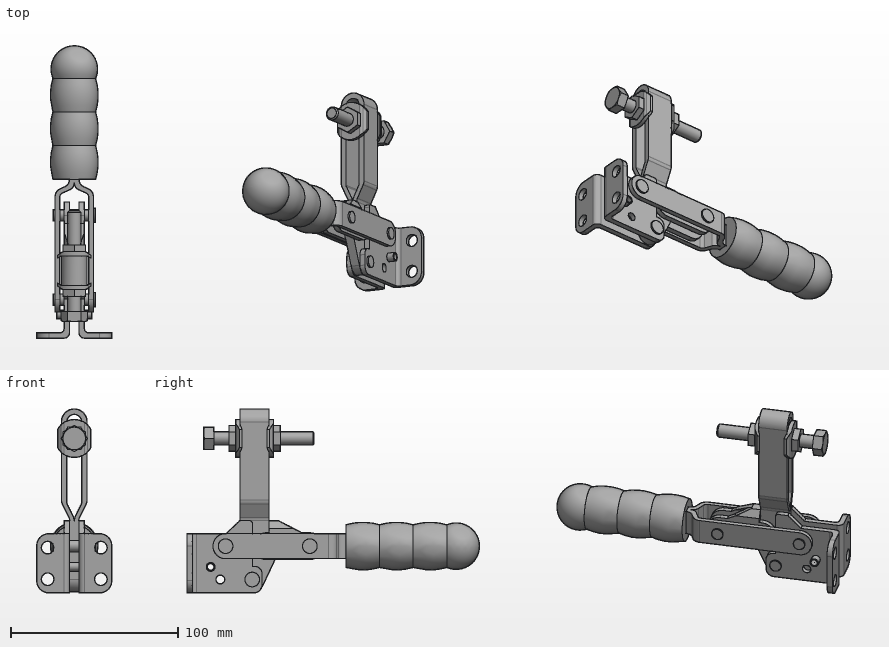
import cadquery as cq
import math


TOTAL_LENGTH = 175.0
TOTAL_HEIGHT = 110.0
CORE_HALF = 2.8
SHEET = 3.3
SIDE_HALF = CORE_HALF + SHEET

AXIS_Z = 28.0
LEVER_PIVOT = (23.1, AXIS_Z)
LINK_REAR_PIVOT = (73.5, AXIS_Z)
LINK_FRONT_PIVOT = (47.6, AXIS_Z)
ARM_PIVOT = (39.0, 8.0)
RIVET_RADIUS = 3.5
RIVET_HEAD_RADIUS = 4.4
RIVET_STANDOUT = 1.0

TOTAL_WIDTH = 45.0
FLANGE_HALF_WIDTH = TOTAL_WIDTH / 2
FLANGE_CORNER = 7.4
BRACKET_HEIGHT = 35.5
TAB_HEIGHT = 43.2
TAB_FRONT_LOW = 23.5
TAB_FRONT_HIGH = 31.5
TAB_CORNER = 1.8
BRACKET_REAR = 39.2
FOOT_REAR = 45.0
FOOT_TOP = 16.0
FOOT_TOP_CORNER = 4.5
FOOT_BOTTOM_CORNER = 4.9
BEND_OUTER = 3.3
BEND_INNER = 2.5
MOUNT_HOLE_DIAMETER = 7.4
MOUNT_HOLE_X = 16.0
MOUNT_HOLE_Z = (8.2, 27.1)
SPARE_HOLE = (20.0, 8.0)
SPARE_HOLE_DIAMETER = 5.0
STOP_TUBE = (14.2, 15.5)
STOP_TUBE_RADIUS = 2.6
STOP_TUBE_BORE = 2.0
STOP_TUBE_HALF_LENGTH = 10.5

ARM_FRONT = 31.7
ARM_DEPTH = 17.5
ARM_REAR = ARM_FRONT + ARM_DEPTH
ARM_OUTER = 7.7
ARM_INNER = 4.4
ARM_PIVOT_RADIUS = ARM_PIVOT[0] - ARM_FRONT
ARM_NECK_Z = 44.3
ARM_SHOULDER_Z = 54.2
ARM_SHOULDER_DROP = 0.7
ARM_NECK_CONCAVE = 4.4
ARM_NECK_CONVEX = 7.0
ARM_SHOULDER_CONVEX = 5.2
ARM_SHOULDER_CONCAVE = 2.0

LINK_RADIUS = 8.0
LINK_FOLD_Z = 38.7
LINK_RIDGE_HALF = 3.2
LINK_RAMP_TOP = 54.8
LINK_RAMP_FOOT = 68.8

LEVER_OUTER = 11.5
LEVER_SHEET = 3.0
LEVER_HALF_HEIGHT = 7.5
LEVER_BEND_Y = 88.0
LEVER_TANG_Y = 91.9
LEVER_BEND_CONVEX = 5.5
LEVER_BEND_CONCAVE = LEVER_BEND_CONVEX - LEVER_SHEET
TANG_BEND_RADIUS = 4.5
TANG_DEPTH = 35.0
GRIP_FRONT = 95.0
GRIP_DOME_RADIUS = 14.0
GRIP_LOBE_RADIUS = 14.4
GRIP_LOBES = 3
GRIP_LOBE_LENGTH = 20.1

BOLT_Z = 92.4
BOLT_RADIUS = 4.0
BOLT_FRONT = 10.0
BOLT_REAR = 76.1
BOLT_HEAD_LENGTH = 6.1
BOLT_TIP_CHAMFER = 0.9
HEX_ACROSS_CORNERS = 15.5
HEX_CHAMFER_LENGTH = 0.5
NUT_LENGTH = 4.0
WASHER_THICKNESS = 2.6
WASHER_RADIUS = 11.4
WASHER_HALF_WIDTH = 10.0
WASHER_BEND_HALF = 7.2
WASHER_BEND_RADIUS = 3.0
WASHER_WING_FALL = 2.3
WASHER_WING_LAP = 1.2


def rounded_outline(plane, corners):
    """Closed outline through (u, v, radius) corners; a radius of 0 leaves a corner sharp."""
    entries_and_exits = []
    for i, (u, v, radius) in enumerate(corners):
        before = corners[i - 1]
        after = corners[(i + 1) % len(corners)]
        into = math.atan2(before[1] - v, before[0] - u)
        out = math.atan2(after[1] - v, after[0] - u)
        half_angle = abs(math.remainder(out - into, math.tau)) / 2
        reach = radius / math.tan(half_angle) if radius else 0
        entry = (u + reach * math.cos(into), v + reach * math.sin(into))
        leave = (u + reach * math.cos(out), v + reach * math.sin(out))
        entries_and_exits.append((radius, entry, leave))

    outline = plane.moveTo(*entries_and_exits[0][2])
    for radius, entry, leave in entries_and_exits[1:] + entries_and_exits[:1]:
        outline = outline.lineTo(*entry)
        if radius:
            outline = outline.tangentArcPoint(leave, relative=False)
    return outline.close()


def cross_plane(x=0.0):
    return cq.Workplane("YZ", origin=(x, 0, 0))


def front_plane(y):
    """Plane at the given Y, drawn in X and Z; extruding from it goes towards -Y."""
    return cq.Workplane("XZ", origin=(0, y, 0))


def x_cylinder(place, radius, x_start, x_end):
    return cross_plane(x_start).center(*place).circle(radius).extrude(x_end - x_start)


def y_cylinder(radius, y_start, y_end):
    return front_plane(y_end).center(0, BOLT_Z).circle(radius).extrude(y_end - y_start)


def through_hole(place, radius):
    return x_cylinder(place, radius, -FLANGE_HALF_WIDTH, FLANGE_HALF_WIDTH)


def both_sides(solid):
    return solid.union(solid.mirror("YZ"))


def rivet(place, sheet_face):
    """Plain at its -X end, headed at its +X end, and standing out of both sheet faces."""
    end = sheet_face + RIVET_STANDOUT
    shank = x_cylinder(place, RIVET_RADIUS, -end, end)
    head = x_cylinder(place, RIVET_HEAD_RADIUS, sheet_face, end)
    return shank.union(head)


def hull_of_circles(lower, lower_radius, upper, upper_radius, half_width):
    """Plate shaped like a belt around two circles."""
    du = upper[0] - lower[0]
    dv = upper[1] - lower[1]
    direction = math.atan2(dv, du)
    spread = math.acos((lower_radius - upper_radius) / math.hypot(du, dv))

    def on_circle(centre, radius, angle):
        return (centre[0] + radius * math.cos(angle), centre[1] + radius * math.sin(angle))

    return (
        cross_plane(-half_width)
        .moveTo(*on_circle(lower, lower_radius, direction + spread))
        .threePointArc(
            on_circle(lower, lower_radius, direction + math.pi),
            on_circle(lower, lower_radius, direction - spread),
        )
        .lineTo(*on_circle(upper, upper_radius, direction - spread))
        .threePointArc(
            on_circle(upper, upper_radius, direction),
            on_circle(upper, upper_radius, direction + spread),
        )
        .close()
        .extrude(2 * half_width)
    )


def bracket():
    """The +X bracket: a web along Y, bent into a flange on the mounting face."""
    bent_sheet = rounded_outline(cq.Workplane("XY"), [
        (CORE_HALF, 0, BEND_OUTER),
        (FLANGE_HALF_WIDTH, 0, 0),
        (FLANGE_HALF_WIDTH, SHEET, 0),
        (SIDE_HALF, SHEET, BEND_INNER),
        (SIDE_HALF, FOOT_REAR, 0),
        (CORE_HALF, FOOT_REAR, 0),
    ]).extrude(TAB_HEIGHT)
    web_outline = rounded_outline(cross_plane(), [
        (0, 0, 0),
        (0, BRACKET_HEIGHT, 0),
        (TAB_FRONT_LOW, BRACKET_HEIGHT, 0),
        (TAB_FRONT_HIGH, TAB_HEIGHT, 0),
        (BRACKET_REAR, TAB_HEIGHT, TAB_CORNER),
        (BRACKET_REAR, FOOT_TOP, 0),
        (FOOT_REAR, FOOT_TOP, FOOT_TOP_CORNER),
        (FOOT_REAR, 0, FOOT_BOTTOM_CORNER),
    ]).extrude(FLANGE_HALF_WIDTH)
    plate = bent_sheet.intersect(web_outline).edges("|Y and >X").fillet(FLANGE_CORNER)

    hole_places = [(MOUNT_HOLE_X, z) for z in MOUNT_HOLE_Z]
    mount_holes = front_plane(SHEET).pushPoints(hole_places).circle(MOUNT_HOLE_DIAMETER / 2).extrude(SHEET)
    return plate.cut(mount_holes).cut(through_hole(SPARE_HOLE, SPARE_HOLE_DIAMETER / 2))


def base():
    tube = x_cylinder(STOP_TUBE, STOP_TUBE_RADIUS, -STOP_TUBE_HALF_LENGTH, STOP_TUBE_HALF_LENGTH)
    return (
        both_sides(bracket())
        .union(tube)
        .cut(through_hole(STOP_TUBE, STOP_TUBE_BORE))
        .union(rivet(ARM_PIVOT, SIDE_HALF))
        .union(rivet(LEVER_PIVOT, LEVER_OUTER))
    )


def arm():
    """A looped strap whose legs close together into a flat foot between the brackets."""
    leg_top = TOTAL_HEIGHT - ARM_OUTER
    inner_shoulder = ARM_SHOULDER_Z - ARM_SHOULDER_DROP
    leg_slope = (ARM_SHOULDER_Z - ARM_NECK_Z) / (ARM_OUTER - CORE_HALF)
    inner_neck = inner_shoulder - ARM_INNER * leg_slope
    leg = rounded_outline(front_plane(ARM_REAR), [
        (0, AXIS_Z, 0),
        (CORE_HALF, AXIS_Z, 0),
        (CORE_HALF, ARM_NECK_Z, ARM_NECK_CONCAVE),
        (ARM_OUTER, ARM_SHOULDER_Z, ARM_SHOULDER_CONVEX),
        (ARM_OUTER, leg_top, 0),
        (ARM_INNER, leg_top, 0),
        (ARM_INNER, inner_shoulder, ARM_SHOULDER_CONCAVE),
        (0, inner_neck, ARM_NECK_CONVEX),
    ]).extrude(ARM_DEPTH)
    arch = (
        front_plane(ARM_REAR)
        .moveTo(ARM_OUTER, leg_top)
        .threePointArc((0, leg_top + ARM_OUTER), (-ARM_OUTER, leg_top))
        .lineTo(-ARM_INNER, leg_top)
        .threePointArc((0, leg_top + ARM_INNER), (ARM_INNER, leg_top))
        .close()
        .extrude(ARM_DEPTH)
    )
    foot_front = (
        cross_plane(-CORE_HALF)
        .moveTo(ARM_FRONT, ARM_PIVOT[1])
        .lineTo(ARM_FRONT, AXIS_Z)
        .lineTo(LINK_FRONT_PIVOT[0], AXIS_Z)
        .lineTo(*ARM_PIVOT)
        .close()
        .extrude(2 * CORE_HALF)
    )
    foot = hull_of_circles(ARM_PIVOT, ARM_PIVOT_RADIUS, LINK_FRONT_PIVOT, LINK_RADIUS, CORE_HALF)
    return (
        both_sides(leg)
        .union(arch)
        .union(foot_front)
        .union(foot)
        .cut(through_hole(ARM_PIVOT, RIVET_RADIUS))
    )


def link():
    """Two side plates whose upper edges fold inwards and meet as a roof behind the arm."""
    fold_run = (SIDE_HALF - LINK_RIDGE_HALF) / (TAB_HEIGHT - LINK_FOLD_Z)
    sloped_width = SHEET * math.hypot(1, fold_run)
    inner_fold_z = LINK_FOLD_Z - (CORE_HALF - SIDE_HALF + sloped_width) / fold_run
    inner_ridge_z = inner_fold_z + CORE_HALF / fold_run
    plate_bottom = AXIS_Z - LINK_RADIUS
    plate_length = LINK_REAR_PIVOT[0] - LINK_FRONT_PIVOT[0] + 2 * LINK_RADIUS
    folded_sheet = (
        front_plane(LINK_REAR_PIVOT[0] + LINK_RADIUS)
        .polyline([
            (CORE_HALF, plate_bottom),
            (SIDE_HALF, plate_bottom),
            (SIDE_HALF, LINK_FOLD_Z),
            (LINK_RIDGE_HALF, TAB_HEIGHT),
            (0, TAB_HEIGHT),
            (0, inner_ridge_z),
            (CORE_HALF, inner_fold_z),
        ])
        .close()
        .extrude(plate_length)
    )
    side = hull_of_circles(LINK_FRONT_PIVOT, LINK_RADIUS, LINK_REAR_PIVOT, LINK_RADIUS, SIDE_HALF)
    roof_side = (
        cross_plane(-SIDE_HALF)
        .polyline([
            (ARM_REAR, AXIS_Z),
            (ARM_REAR, TAB_HEIGHT),
            (LINK_RAMP_TOP, TAB_HEIGHT),
            (LINK_RAMP_FOOT, AXIS_Z + LINK_RADIUS),
            (LINK_RAMP_FOOT, AXIS_Z),
        ])
        .close()
        .extrude(2 * SIDE_HALF)
    )
    return (
        both_sides(folded_sheet)
        .intersect(side.union(roof_side))
        .cut(through_hole(LINK_REAR_PIVOT, RIVET_RADIUS))
    )


def lever():
    """Two side plates with rounded front ends, bent together into one tang that enters the grip."""
    inner = LEVER_OUTER - LEVER_SHEET
    slope_angle = math.atan2(LEVER_TANG_Y - LEVER_BEND_Y, LEVER_OUTER - LEVER_SHEET)
    bend_shift = LEVER_SHEET * math.tan((math.pi / 2 - slope_angle) / 2)
    front_end = LEVER_PIVOT[0] - LEVER_HALF_HEIGHT
    tang_end = GRIP_FRONT + TANG_DEPTH
    plate = rounded_outline(cq.Workplane("XY", origin=(0, 0, AXIS_Z - LEVER_HALF_HEIGHT)), [
        (inner, front_end, 0),
        (LEVER_OUTER, front_end, 0),
        (LEVER_OUTER, LEVER_BEND_Y, LEVER_BEND_CONVEX),
        (LEVER_SHEET, LEVER_TANG_Y, TANG_BEND_RADIUS),
        (LEVER_SHEET, tang_end, 0),
        (0, tang_end, 0),
        (0, LEVER_TANG_Y - bend_shift, TANG_BEND_RADIUS),
        (inner, LEVER_BEND_Y - bend_shift, LEVER_BEND_CONCAVE),
    ]).extrude(2 * LEVER_HALF_HEIGHT)
    length_behind_pivot = tang_end - LEVER_PIVOT[0]
    round_end = x_cylinder(LEVER_PIVOT, LEVER_HALF_HEIGHT, 0, LEVER_OUTER)
    behind_pivot = (
        cross_plane()
        .center(LEVER_PIVOT[0] + length_behind_pivot / 2, AXIS_Z)
        .rect(length_behind_pivot, 2 * LEVER_HALF_HEIGHT)
        .extrude(LEVER_OUTER)
    )
    return (
        both_sides(plate.intersect(round_end.union(behind_pivot)))
        .cut(through_hole(LEVER_PIVOT, RIVET_RADIUS))
        .union(rivet(LINK_REAR_PIVOT, LEVER_OUTER))
    )


def grip():
    """A turned handle of equal lobes with a domed end, slotted for the lever tang."""
    dome_centre = TOTAL_LENGTH - GRIP_DOME_RADIUS
    lobes_end = GRIP_FRONT + GRIP_LOBES * GRIP_LOBE_LENGTH
    valley = math.sqrt(GRIP_DOME_RADIUS**2 - (dome_centre - lobes_end) ** 2)
    profile = cq.Workplane("XY").moveTo(0, GRIP_FRONT).lineTo(valley, GRIP_FRONT)
    for i in range(GRIP_LOBES):
        start = GRIP_FRONT + i * GRIP_LOBE_LENGTH
        crest = (GRIP_LOBE_RADIUS, start + GRIP_LOBE_LENGTH / 2)
        profile = profile.threePointArc(crest, (valley, start + GRIP_LOBE_LENGTH))
    profile = profile.threePointArc((GRIP_DOME_RADIUS, dome_centre), (0, TOTAL_LENGTH))
    handle = profile.close().revolve(360, (0, 0), (0, 1)).translate((0, 0, AXIS_Z))

    slot = (
        front_plane(GRIP_FRONT + TANG_DEPTH)
        .center(0, AXIS_Z)
        .rect(2 * LEVER_SHEET, 2 * LEVER_HALF_HEIGHT)
        .extrude(TANG_DEPTH)
    )
    return handle.cut(slot)


def hexagon(y_start, y_end):
    """Hexagonal prism along Y with two of its corners on the X direction."""
    return front_plane(y_end).center(0, BOLT_Z).polygon(6, HEX_ACROSS_CORNERS).extrude(y_end - y_start)


def bolt():
    head_rear = BOLT_FRONT + BOLT_HEAD_LENGTH
    across_flats = HEX_ACROSS_CORNERS * math.cos(math.pi / 6)
    chamfer_width = (HEX_ACROSS_CORNERS - across_flats) / 2
    corner_cone = y_cylinder(HEX_ACROSS_CORNERS / 2, BOLT_FRONT, head_rear)
    corner_cone = corner_cone.faces("<Y").edges().chamfer(HEX_CHAMFER_LENGTH, chamfer_width)
    head = hexagon(BOLT_FRONT, head_rear).intersect(corner_cone)
    shank = y_cylinder(BOLT_RADIUS, head_rear, BOLT_REAR).faces(">Y").edges().chamfer(BOLT_TIP_CHAMFER)
    return head.union(shank)


def across_arm(solid):
    """Mirror image of a rear part on the front of the arm."""
    return solid.mirror("XZ", (0, ARM_FRONT + ARM_DEPTH / 2, 0))


def rear_nut():
    start = ARM_REAR + WASHER_THICKNESS
    corners_upright = 90
    prism = hexagon(start, start + NUT_LENGTH).rotate((0, 0, BOLT_Z), (0, 1, BOLT_Z), corners_upright)
    return prism.cut(y_cylinder(BOLT_RADIUS, start, start + NUT_LENGTH))


def rear_washer():
    """A round plate, trimmed at both sides, whose wings bend over the arm edges."""
    outer_face = ARM_REAR + WASHER_THICKNESS
    wing_end = ARM_REAR - WASHER_WING_LAP
    half_plate = rounded_outline(cq.Workplane("XY", origin=(0, 0, BOLT_Z - WASHER_RADIUS)), [
        (0, ARM_REAR, 0),
        (0, outer_face, 0),
        (WASHER_BEND_HALF, outer_face, WASHER_BEND_RADIUS),
        (WASHER_HALF_WIDTH, outer_face - WASHER_WING_FALL, 0),
        (WASHER_HALF_WIDTH, wing_end, 0),
        (ARM_OUTER, ARM_REAR, 0),
    ]).extrude(2 * WASHER_RADIUS)
    disc = y_cylinder(WASHER_RADIUS, wing_end, outer_face)
    bolt_hole = y_cylinder(BOLT_RADIUS, wing_end, outer_face)
    return both_sides(half_plate).intersect(disc).cut(bolt_hole)


rear_parts = [rear_nut(), rear_washer()]
front_parts = [across_arm(part) for part in rear_parts]
bodies = [base(), arm(), link(), lever(), grip(), bolt()] + rear_parts + front_parts

result = cq.Compound.makeCompound([body.solids().val() for body in bodies])